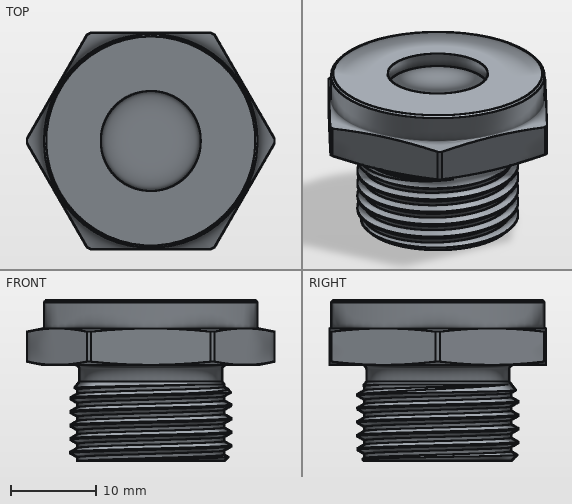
import cadquery as cq
import math

total_height = 18.8
hex_bottom = 11.23
hex_top = 15.5

across_flats = 25.4
across_corners = 29.02
hex_chamfer_drop = 0.38

head_radius = 12.5
head_chamfer = 0.25
head_root_fillet = 0.15

neck_radius = 8.4
neck_fillet = 0.5
neck_bottom = 9.25
runout_height = 1.33

crest_radius = 9.43
root_radius = 8.62
end_radius = 8.65
thread_pitch = 1.587
root_flat = 0.5
flank_angle = 30.0
groove_overshoot = 0.1
crest_height_at_minus_x = 0.95
groove_turns = 6.25

bore_radius = 5.85
recess_depth = 1.6


def make_hex_collar():
    """Hexagon with its corners turned round and coned on both faces."""
    flat_radius = across_flats / 2
    corner_radius = across_corners / 2
    hexagon = (
        cq.Workplane("XY")
        .workplane(offset=hex_bottom)
        .polygon(6, across_flats / math.cos(math.pi / 6))
        .extrude(hex_top - hex_bottom)
    )
    envelope = (
        cq.Workplane("XZ")
        .moveTo(0, hex_bottom)
        .lineTo(flat_radius, hex_bottom)
        .lineTo(corner_radius, hex_bottom + hex_chamfer_drop)
        .lineTo(corner_radius, hex_top - hex_chamfer_drop)
        .lineTo(flat_radius, hex_top)
        .lineTo(0, hex_top)
        .close()
        .revolve(360, (0, 0), (0, 1))
    )
    return hexagon.intersect(envelope)


def make_turned_blank():
    """Revolved thread blank, neck and head, with chamfers and root fillets."""
    end_chamfer = crest_radius - end_radius
    bend = math.sqrt(0.5)
    neck_mid = neck_fillet * (1 - bend)
    head_mid = head_root_fillet * (1 - bend)
    return (
        cq.Workplane("YZ")
        .lineTo(end_radius, 0)
        .lineTo(crest_radius, end_chamfer)
        .lineTo(crest_radius, neck_bottom - runout_height)
        .lineTo(neck_radius, neck_bottom)
        .lineTo(neck_radius, hex_bottom - neck_fillet)
        .threePointArc(
            (neck_radius + neck_mid, hex_bottom - neck_mid),
            (neck_radius + neck_fillet, hex_bottom),
        )
        .lineTo(head_radius + head_root_fillet, hex_bottom)
        .lineTo(head_radius + head_root_fillet, hex_top)
        .threePointArc(
            (head_radius + head_mid, hex_top + head_mid),
            (head_radius, hex_top + head_root_fillet),
        )
        .lineTo(head_radius, total_height - head_chamfer)
        .lineTo(head_radius - head_chamfer, total_height)
        .lineTo(0, total_height)
        .close()
        .revolve(360, (0, 0), (0, 1))
    )


def make_thread_groove():
    """Helical trapezoid cutter that leaves the thread ridge between its turns."""
    start = crest_height_at_minus_x - thread_pitch
    outer_radius = crest_radius + groove_overshoot
    inner_half = root_flat / 2
    outer_half = inner_half + (outer_radius - root_radius) * math.tan(math.radians(flank_angle))
    helix = cq.Wire.makeHelix(thread_pitch, groove_turns * thread_pitch, root_radius)
    helix = helix.translate(cq.Vector(0, 0, start))
    return (
        cq.Workplane("XZ")
        .polyline([
            (root_radius, start - inner_half),
            (outer_radius, start - outer_half),
            (outer_radius, start + outer_half),
            (root_radius, start + inner_half),
        ])
        .close()
        .sweep(cq.Workplane(helix), isFrenet=True)
    )


def make_housing():
    """Threaded hexagon plug with a through bore."""
    bore = cq.Workplane("XY").circle(bore_radius).extrude(total_height)
    threaded_blank = make_turned_blank().cut(make_thread_groove())
    return threaded_blank.union(make_hex_collar()).cut(bore)


def make_insert():
    """Plain cylinder filling the bore up to the recess floor."""
    return cq.Workplane("XY").circle(bore_radius).extrude(total_height - recess_depth)


housing = make_housing()
insert = make_insert()
result = cq.Compound.makeCompound([housing.val(), insert.val()])